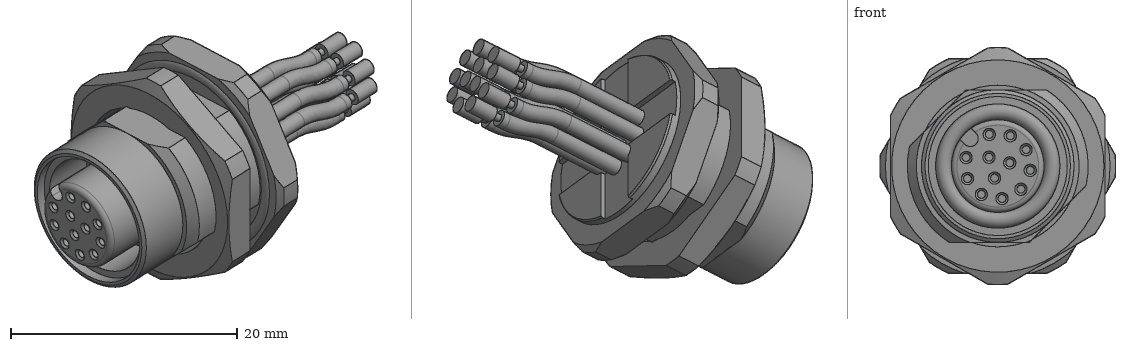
import cadquery as cq
import math


housing_front = 1.53
collar_front = 6.54
nut_front = 9.52
nut_back = 12.31
flange_front = 15.26
flange_back = 18.05
rear_face = 19.0
bend_start = 25.8
bend_end = 31.34
insulation_end = 32.0
sleeve_start = 32.83
lead_end = 35.3

housing_diameter = 13.5
housing_chamfer_radial = 0.32
housing_chamfer_axial = 0.25
mouth_diameter = 12.3
mouth_depth = 0.9
socket_diameter = 11.0
socket_floor = 7.5

insert_diameter = 8.2
insert_edge_radius = 0.48
key_angle = 135.0
key_slot_width = 1.4
key_slot_center_radius = 3.43

inner_seal_diameter = (socket_diameter + insert_diameter) / 2
inner_seal_thickness = (socket_diameter - insert_diameter) / 2
panel_seal_diameter = 17.3
panel_seal_thickness = 1.4
panel_seal_protrusion = 0.2

collar_diameter = 16.0
collar_chamfer = 0.8
flat_angles = (90.0, key_angle)
flat_span = housing_diameter

hex_across_flats = 19.0
nut_corner_diameter = 20.99
flange_corner_diameter = 20.89
nut_bore_diameter = 14.3
nut_chamfer_radial = 1.1
nut_chamfer_axial = 0.5
flange_chamfer = 0.51

boss_diameter = collar_diameter
boss_chamfer_radial = 0.1
boss_chamfer_axial = 0.2
notch_width = 3.75
notch_depth = 0.5

outer_contact_radius = 2.9
outer_contact_count = 9
outer_contact_pitch = 37.5
inner_contact_radius = 1.1
inner_contact_count = 3
contact_bore_diameter = 0.7
contact_mouth_diameter = 1.08
contact_mouth_depth = 0.2
contact_bore_depth = 4.0
insulation_diameter = 1.5
core_diameter = 0.7
lead_drop = 1.19


def revolved(profile):
    """Turn (radius, y) points about the Y axis."""
    return cq.Workplane("XY").polyline(profile).close().revolve(360, (0, 0, 0), (0, 1, 0))


def cylinder(diameter, start, end):
    """Round bar along Y between two stations."""
    return cq.Workplane("XZ", origin=(0, start, 0)).circle(diameter / 2).extrude(start - end)


def seal_ring(center_diameter, thickness, center_y):
    """O-ring around the Y axis."""
    section = cq.Workplane("XY").moveTo(center_diameter / 2, center_y).circle(thickness / 2)
    return section.revolve(360, (0, 0, 0), (0, 1, 0))


def hexagon(start, end, turn):
    """Hexagonal plate; with no turn its corners lie on the X axis."""
    across_corners = hex_across_flats / math.cos(math.pi / 6)
    plate = cq.Workplane("XZ", origin=(0, start, 0)).polygon(6, across_corners).extrude(start - end)
    return plate.rotate((0, 0, 0), (0, 1, 0), turn)


def polar(radius, angle):
    """X and Z of a point seen from the mating side."""
    return radius * math.cos(math.radians(angle)), radius * math.sin(math.radians(angle))


def contact_positions():
    opposite_key = key_angle + 180
    first_offset = (outer_contact_count - 1) / 2
    outer = [
        polar(outer_contact_radius, opposite_key + (i - first_offset) * outer_contact_pitch)
        for i in range(outer_contact_count)
    ]
    inner = [
        polar(inner_contact_radius, key_angle + i * 360 / inner_contact_count)
        for i in range(inner_contact_count)
    ]
    return outer + inner


def make_housing():
    outer_radius = housing_diameter / 2
    mouth_floor = housing_front + mouth_depth
    return revolved([
        (mouth_diameter / 2, housing_front),
        (outer_radius - housing_chamfer_radial, housing_front),
        (outer_radius, housing_front + housing_chamfer_axial),
        (outer_radius, flange_front),
        (0, flange_front),
        (0, socket_floor),
        (socket_diameter / 2, socket_floor),
        (socket_diameter / 2, mouth_floor),
        (mouth_diameter / 2, mouth_floor),
    ])


def make_collar():
    radius = collar_diameter / 2
    bore_radius = housing_diameter / 2 - housing_chamfer_radial
    collar = revolved([
        (bore_radius, collar_front),
        (radius - collar_chamfer, collar_front),
        (radius, collar_front + collar_chamfer),
        (radius, flange_front),
        (bore_radius, flange_front),
    ])
    length = flange_front - collar_front
    for normal_angle in flat_angles:
        slab = cq.Workplane("XY").box(flat_span, length, 2 * collar_diameter)
        slab = slab.translate((0, collar_front + length / 2, 0))
        collar = collar.intersect(slab.rotate((0, 0, 0), (0, 1, 0), -normal_angle))
    return collar


def make_insert():
    insert = cylinder(insert_diameter, 0, socket_floor).faces("<Y").edges().fillet(insert_edge_radius)
    slot = (
        cq.Workplane("XZ")
        .slot2D(insert_diameter + key_slot_width, key_slot_width)
        .extrude(-socket_floor)
        .translate((key_slot_center_radius + insert_diameter / 2, 0, 0))
        .rotate((0, 0, 0), (0, 1, 0), -key_angle)
    )
    seal = seal_ring(inner_seal_diameter, inner_seal_thickness, socket_floor)
    return insert.cut(slot).union(seal)


def make_nut():
    corner_radius = nut_corner_diameter / 2
    envelope = revolved([
        (nut_bore_diameter / 2, nut_front),
        (corner_radius - nut_chamfer_radial, nut_front),
        (corner_radius, nut_front + nut_chamfer_axial),
        (corner_radius, nut_back),
        (nut_bore_diameter / 2, nut_back),
    ])
    return hexagon(nut_front, nut_back, 30).intersect(envelope)


def make_flange():
    envelope = cylinder(flange_corner_diameter, flange_front, flange_back).edges().chamfer(flange_chamfer)
    flange = hexagon(flange_front, flange_back, 0).intersect(envelope)
    seal_center = flange_front - panel_seal_protrusion + panel_seal_thickness / 2
    return flange.union(seal_ring(panel_seal_diameter, panel_seal_thickness, seal_center))


def make_boss():
    radius = boss_diameter / 2
    boss = revolved([
        (0, flange_back),
        (radius, flange_back),
        (radius, rear_face - boss_chamfer_axial),
        (radius - boss_chamfer_radial, rear_face),
        (0, rear_face),
    ])
    notch = cq.Workplane("XY").box(2 * boss_diameter, notch_depth, notch_width)
    notch = notch.translate((0, rear_face - notch_depth / 2, 0))
    for turn in (0, 90):
        boss = boss.cut(notch.rotate((0, 0, 0), (0, 1, 0), turn))
    return boss


def make_contact_bore():
    bore_radius = contact_bore_diameter / 2
    return revolved([
        (0, 0),
        (contact_mouth_diameter / 2, 0),
        (bore_radius, contact_mouth_depth),
        (bore_radius, contact_bore_depth),
        (0, contact_bore_depth),
    ])


def make_lead():
    """One lead: an S-bent insulated wire, a short bare core and the cut-off sleeve."""
    start = flange_back
    path = (
        cq.Workplane("YZ")
        .moveTo(start, 0)
        .lineTo(bend_start, 0)
        .spline([(bend_end, -lead_drop)], tangents=[(1, 0), (1, 0)], includeCurrent=True)
        .lineTo(insulation_end, -lead_drop)
    )
    section = cq.Workplane("XZ", origin=(0, start, 0)).circle(insulation_diameter / 2)
    insulation = section.sweep(path)
    core = cylinder(core_diameter, bend_end, lead_end).translate((0, 0, -lead_drop))
    sleeve = cylinder(insulation_diameter, sleeve_start, lead_end).translate((0, 0, -lead_drop))
    return insulation.union(core).union(sleeve)


def make_part():
    part = make_housing()
    for component in (make_collar(), make_insert(), make_nut(), make_flange(), make_boss()):
        part = part.union(component)
    bore = make_contact_bore()
    lead = make_lead()
    for x, z in contact_positions():
        part = part.cut(bore.translate((x, 0, z)))
        part = part.union(lead.translate((x, 0, z)))
    return part


result = make_part()